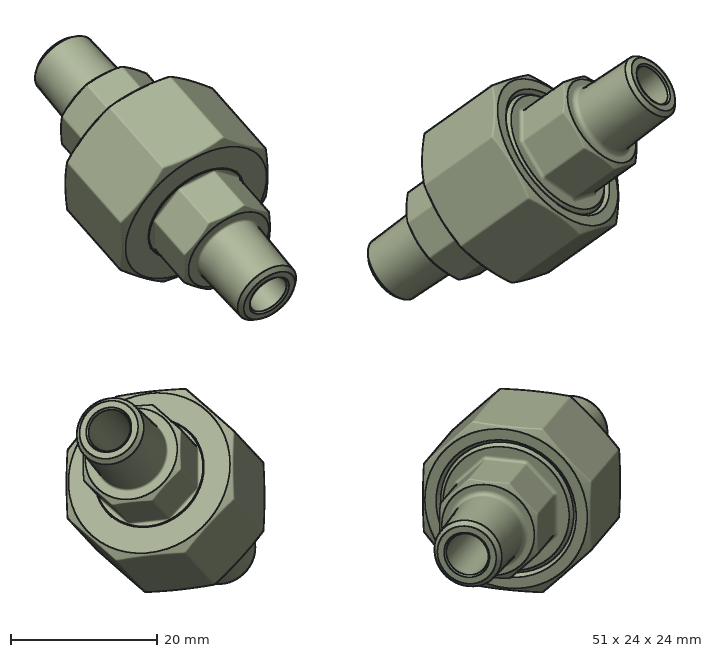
import cadquery as cq
import math


overall_length = 51.0
tip_x = -overall_length / 2
pipe_length = 10.0
bore_diameter = 6.0
bore_chamfer = 0.25
pipe_tip_diameter = 9.6
pipe_taper = 1 / 16
pipe_tip_chamfer = 0.6
octagon_width = 14.0
octagon_face_diameter = 13.2
octagon_rim_radius = 0.2
corner_radius = 0.5
octagon_x = tip_x + pipe_length
end_chamfer_slope = math.tan(math.radians(25))

nut_width = 24.0
nut_face_diameter = 23.2
nut_rim_radius = 0.3
nut_length = 14.5
nut_left = -7.0
nut_right = nut_left + nut_length
nut_web = 3.0
nut_mouth_diameter = 20.0
nut_hole_diameter = 15.7
collar_bore_diameter = 18.38

thread_diameter = 19.0
male_face_diameter = 18.0
male_face_x = nut_left
male_root_radius = 0.5
male_pipe_root_radius = 0.7
thread_length = 7.0
joint_x = male_face_x + thread_length

neck_diameter = 15.5
neck_clearance = 0.1
collar_diameter = 18.0
collar_x = nut_right - nut_web
tail_face_x = nut_right + neck_clearance
tail_root_radius = 0.25
tail_pipe_root_radius = 0.3


def turned(outline):
    """Solid of revolution about X from (x, radius) points."""
    return cq.Workplane("XY").polyline(outline).close().revolve(360, (0, 0, 0), (1, 0, 0))


def cylinder(diameter, start, end):
    return cq.Workplane("YZ").workplane(offset=start).circle(diameter / 2).extrude(end - start)


def lead_in(start_diameter, end_diameter, start):
    """45-degree cone along X that starts at the first diameter and ends at the second."""
    end = start + abs(start_diameter - end_diameter) / 2
    return turned([(start, 0), (start, start_diameter / 2), (end, end_diameter / 2), (end, 0)])


def octagon_bar(width, start, end):
    """Octagon bar along X with flats facing Y and Z and rounded long edges."""
    corner_circle = width / math.cos(math.pi / 8)
    return (
        cq.Workplane("YZ")
        .workplane(offset=start)
        .transformed(rotate=(0, 0, 22.5))
        .polygon(8, corner_circle)
        .extrude(end - start)
        .edges("|X")
        .fillet(corner_radius)
    )


def corner_cutter(width, face_diameter, face_x, inward):
    """Ring that chamfers an octagon's end; inward is +1 or -1 along X."""
    inner = face_diameter / 2
    outer = width
    far_x = face_x + inward * (outer - inner) * end_chamfer_slope
    return turned([(face_x, inner), (face_x, outer), (far_x, outer)])


def round_chamfer_rims(bar, radius):
    """Round the wavy edges where the end chamfers run out into the flats."""
    chamfer_edges = bar.faces("%CONE").edges().vals()
    rims = [edge for edge in chamfer_edges if edge.geomType() != "CIRCLE"]
    return bar.newObject(rims).fillet(radius)


def edges_in_plane(body, x):
    """Edges that lie wholly in the plane at x."""
    tolerance = 1e-4
    boxes = [(edge, edge.BoundingBox()) for edge in body.edges().vals()]
    return [e for e, box in boxes if max(abs(box.xmin - x), abs(box.xmax - x)) < tolerance]


def make_pipe_end(shoulder_x, root_radius, pipe_root_radius, shoulder):
    """Tapered pipe and wrench octagon with bore, ending in the given shoulder body."""
    octagon = octagon_bar(octagon_width, octagon_x, shoulder_x)
    octagon = octagon.cut(corner_cutter(octagon_width, octagon_face_diameter, octagon_x, 1))
    octagon = round_chamfer_rims(octagon, octagon_rim_radius)

    pipe_root_diameter = pipe_tip_diameter + pipe_taper * pipe_length
    pipe_outline = [
        (tip_x, 0),
        (tip_x, pipe_tip_diameter / 2),
        (octagon_x, pipe_root_diameter / 2),
        (octagon_x, 0),
    ]
    pipe = turned(pipe_outline).faces("<X").chamfer(pipe_tip_chamfer)
    body = octagon.union(pipe)
    pipe_root = min(edges_in_plane(body, octagon_x), key=lambda edge: edge.Length())
    body = body.newObject([pipe_root]).fillet(pipe_root_radius)

    body = body.union(shoulder)
    octagon_root = [edge for edge in edges_in_plane(body, shoulder_x) if not edge.IsClosed()]
    body = body.newObject(octagon_root).fillet(root_radius)

    body = body.cut(cylinder(bore_diameter, tip_x, body.val().BoundingBox().xmax))
    return body.cut(lead_in(bore_diameter + 2 * bore_chamfer, bore_diameter, tip_x))


def make_male_end():
    thread_start = male_face_x + (thread_diameter - male_face_diameter) / 2
    flange = cylinder(thread_diameter, thread_start, joint_x)
    flange = flange.union(lead_in(male_face_diameter, thread_diameter, male_face_x))
    return make_pipe_end(male_face_x, male_root_radius, male_pipe_root_radius, flange)


def make_tailpiece():
    neck = cylinder(neck_diameter, -tail_face_x, -collar_x)
    collar = cylinder(collar_diameter, -collar_x, -joint_x)
    shoulder = neck.union(collar)
    tailpiece = make_pipe_end(-tail_face_x, tail_root_radius, tail_pipe_root_radius, shoulder)
    return tailpiece.mirror("YZ")


def make_nut():
    body = octagon_bar(nut_width, nut_left, nut_right)
    body = body.cut(corner_cutter(nut_width, nut_face_diameter, nut_left, 1))
    body = body.cut(corner_cutter(nut_width, nut_face_diameter, nut_right, -1))
    body = round_chamfer_rims(body, nut_rim_radius)
    body = body.cut(lead_in(nut_mouth_diameter, thread_diameter, nut_left))
    body = body.cut(cylinder(thread_diameter, nut_left, joint_x))
    body = body.cut(cylinder(collar_bore_diameter, joint_x, collar_x))
    return body.cut(cylinder(nut_hole_diameter, collar_x, nut_right))


male_end = make_male_end()
tailpiece = make_tailpiece()
nut = make_nut()

result = cq.Compound.makeCompound([male_end.val(), tailpiece.val(), nut.val()])